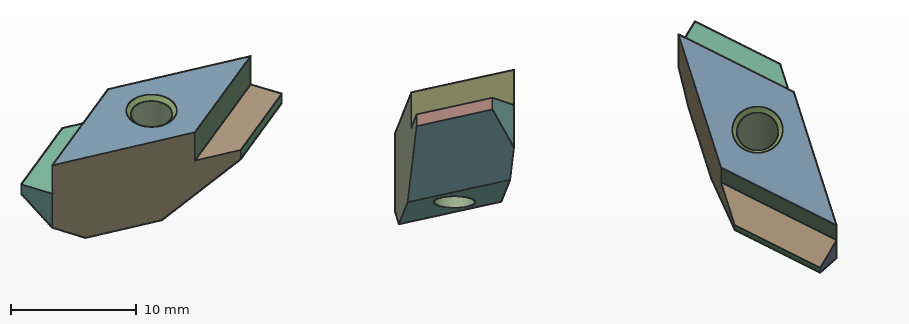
import cadquery as cq

width = 14.0
length = 19.0
height = 8.3

stem_width = 8.53
stem_height = 2.93
flange_edge = 0.97
base_width = 4.56

bore_diameter = 3.29
countersink_diameter = 4.0
countersink_angle = 90

flange_top = height - stem_height
flange_bottom = flange_top - flange_edge


def nut_bar():
    """Bar along Y with a stem, two flanges and a tapered underside."""
    right_side = [
        (base_width / 2, 0),
        (width / 2, flange_bottom),
        (width / 2, flange_top),
        (stem_width / 2, flange_top),
        (stem_width / 2, height),
    ]
    left_side = [(-x, z) for x, z in reversed(right_side)]
    profile = cq.Workplane("XZ").polyline(right_side + left_side).close()
    return profile.extrude(length / 2, both=True)


def plan_prism():
    """Full-height prism whose 45 degree sides cut two opposite corners."""
    corner_y = length / 2 - (width + stem_width) / 2
    outline = [
        (-width / 2, -length / 2),
        (-stem_width / 2, -length / 2),
        (width / 2, -corner_y),
        (width / 2, length / 2),
        (stem_width / 2, length / 2),
        (-width / 2, corner_y),
    ]
    return cq.Workplane("XY").polyline(outline).close().extrude(height)


body = nut_bar().intersect(plan_prism())
result = body.faces(">Z").workplane(origin=(0, 0, height)).cskHole(
    bore_diameter, countersink_diameter, countersink_angle
)